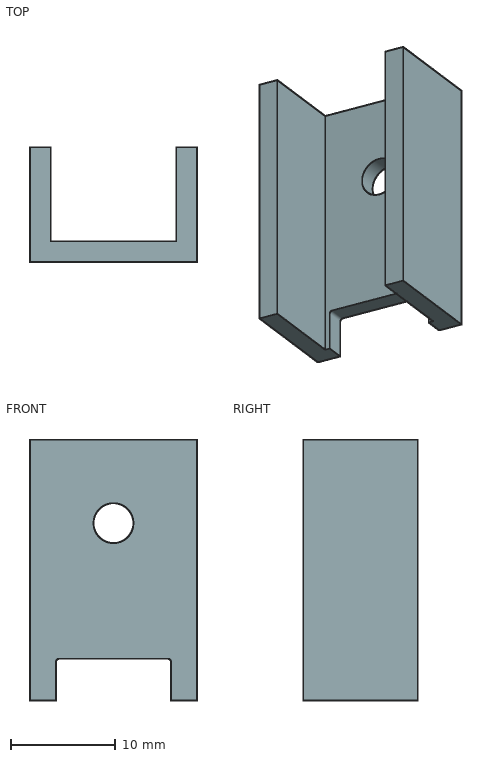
import cadquery as cq

width = 16.0
depth = 11.0
height = 25.0
wall = 2.0
hole_diameter = 3.8
hole_below_top = 8.0
notch_width = 11.0
notch_height = 4.0
notch_corner_radius = 0.3


def channel():
    """U-shaped channel standing on Z = 0, with its plate on the -Y side and open towards +Y."""
    block = cq.Workplane("XY").box(width, depth, height, centered=(True, False, False))
    cavity = (
        cq.Workplane("XY")
        .box(width - 2 * wall, depth - wall, height, centered=(True, False, False))
        .translate((0, wall, 0))
    )
    return block.cut(cavity)


def plate_hole():
    """Round hole through the plate, on its vertical centreline."""
    return (
        cq.Workplane("XZ")
        .center(0, height - hole_below_top)
        .circle(hole_diameter / 2)
        .extrude(-wall)
    )


def bottom_notch():
    """Notch in the lower edge of the plate, with rounded upper corners."""
    return (
        cq.Workplane("XY")
        .box(notch_width, wall, notch_height, centered=(True, False, False))
        .edges("|Y and >Z")
        .fillet(notch_corner_radius)
    )


result = channel().cut(plate_hole()).cut(bottom_notch())